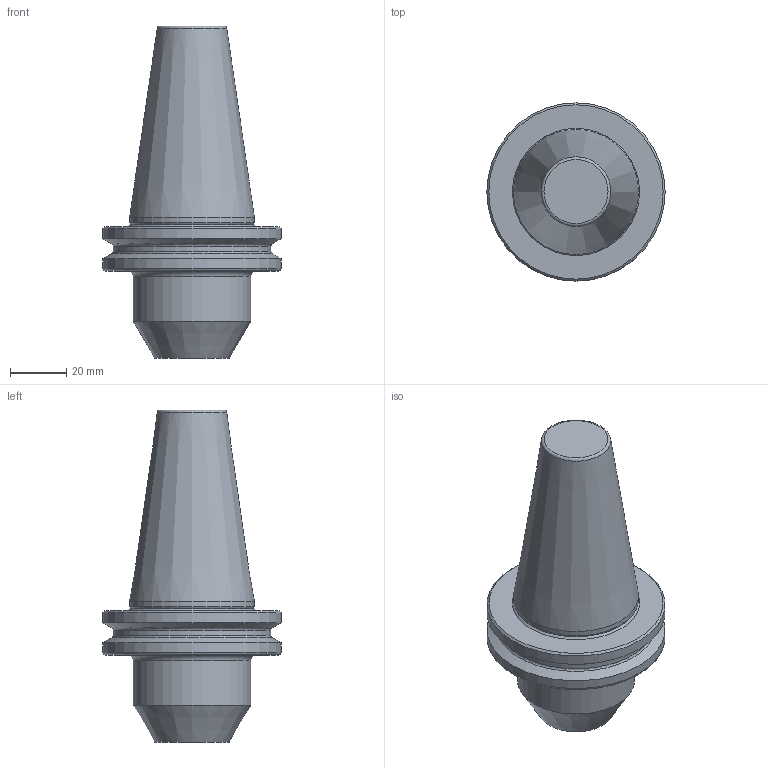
import cadquery as cq
import math

gauge_diameter = 44.45
taper_length = 68.25
projection = 50.0
taper_ratio = 7 / 24

shank_end_fillet = 1.0
gauge_band_length = 1.85
relief_depth = 0.35
relief_root_z = -2.5
relief_foot_diameter = 45.3

flange_diameter = 63.5
flange_top_z = -3.18
flange_bottom_z = -19.05
flange_top_chamfer = 0.7
flange_bottom_fillet = 1.0

groove_center_z = -11.1
groove_mouth_width = 7.2
groove_floor_diameter = 56.2
groove_flank_angle = 30.0
groove_root_fillet = 0.9

body_diameter = 41.8
body_fillet = 2.0
nose_length = 13.1
nose_half_angle = 30.0

gauge_radius = gauge_diameter / 2
shank_end_radius = gauge_radius - taper_length * taper_ratio / 2
flange_radius = flange_diameter / 2
groove_floor_radius = groove_floor_diameter / 2
body_radius = body_diameter / 2
nose_end_radius = body_radius - nose_length * math.tan(math.radians(nose_half_angle))


def revolve_profile(points):
    """Turn a closed (radius, z) outline around the Z axis."""
    return cq.Workplane("XZ").polyline(points).close().revolve(360, (0, 0, 0), (0, 1, 0))


def circle_edges(body, radius, z):
    """Pick the circular edges of the given radius lying at height z."""
    tolerance = 0.01

    def matches(edge):
        box = edge.BoundingBox()
        at_height = abs(box.zmin - z) < tolerance and abs(box.zmax - z) < tolerance
        return at_height and edge.geomType() == "CIRCLE" and abs(edge.radius() - radius) < tolerance

    return body.newObject([edge for edge in body.edges().vals() if matches(edge)])


def make_shank():
    """Steep taper with a straight gauge band and a V-shaped relief above the flange."""
    band_end_z = -gauge_band_length
    shank = revolve_profile([
        (0, taper_length),
        (shank_end_radius, taper_length),
        (gauge_radius, 0),
        (gauge_radius, band_end_z),
        (gauge_radius - relief_depth, relief_root_z),
        (relief_foot_diameter / 2, flange_top_z),
        (0, flange_top_z),
    ])
    return circle_edges(shank, shank_end_radius, taper_length).fillet(shank_end_fillet)


def make_flange():
    """Disc with a V-groove, rounded groove roots and broken outer rims."""
    flank_height = (flange_radius - groove_floor_radius) * math.tan(math.radians(groove_flank_angle))
    mouth_half = groove_mouth_width / 2
    floor_half = mouth_half - flank_height
    flange = revolve_profile([
        (0, flange_top_z),
        (flange_radius, flange_top_z),
        (flange_radius, groove_center_z + mouth_half),
        (groove_floor_radius, groove_center_z + floor_half),
        (groove_floor_radius, groove_center_z - floor_half),
        (flange_radius, groove_center_z - mouth_half),
        (flange_radius, flange_bottom_z),
        (0, flange_bottom_z),
    ])
    flange = circle_edges(flange, flange_radius, flange_top_z).chamfer(flange_top_chamfer)
    flange = circle_edges(flange, flange_radius, flange_bottom_z).fillet(flange_bottom_fillet)
    for side in (1, -1):
        root_z = groove_center_z + side * floor_half
        flange = circle_edges(flange, groove_floor_radius, root_z).fillet(groove_root_fillet)
    return flange


def make_body():
    """Cylindrical body ending in a conical nose."""
    return revolve_profile([
        (0, flange_bottom_z),
        (body_radius, flange_bottom_z),
        (body_radius, nose_length - projection),
        (nose_end_radius, -projection),
        (0, -projection),
    ])


holder = make_shank().union(make_flange()).union(make_body())
result = circle_edges(holder, body_radius, flange_bottom_z).fillet(body_fillet)